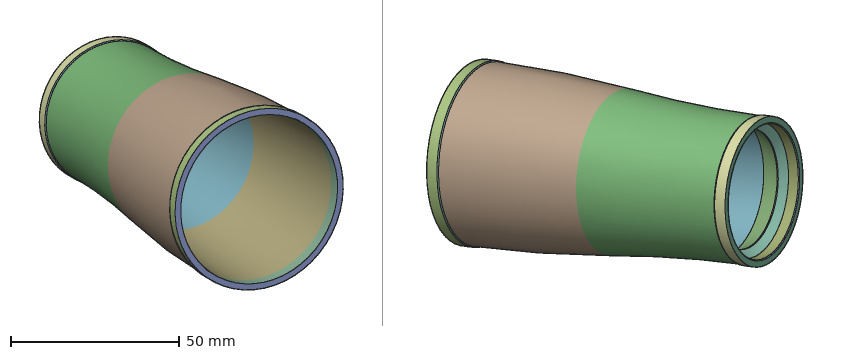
import cadquery as cq
import math

length = 100.0
small_radius = 22.6
large_radius = 28.0
band_width = 3.6
step_run = 0.4
band_step = 0.3
wall = 1.6

socket_radius = 20.4
socket_depth = 3.7
mouth_chamfer = 0.3
throat_radius = 18.0
throat_start = 5.8
throat_end = 6.2
flare_end = 12.5

neck_radius = small_radius - band_step
shoulder_radius = large_radius - band_step
body_start = band_width + step_run
body_end = length - body_start
middle = length / 2
middle_radius = (neck_radius + shoulder_radius) / 2
half_run = middle - body_start
half_rise = middle_radius - neck_radius
arc_radius = (half_run**2 + half_rise**2) / (2 * half_rise)


def neck_arc_point(x, inset=0.0):
    """Point at x on the concave body arc, moved inward by the given inset."""
    radius = arc_radius + inset
    drop = math.sqrt(radius**2 - (x - body_start) ** 2)
    return (x, neck_radius + arc_radius - drop)


def shoulder_arc_point(x, inset=0.0):
    """Point at x on the convex body arc, moved inward by the given inset."""
    radius = arc_radius - inset
    rise = math.sqrt(radius**2 - (x - body_end) ** 2)
    return (x, shoulder_radius - arc_radius + rise)


tilt = math.asin(half_run / arc_radius)
inner_middle = middle + wall * math.sin(tilt)
inner_middle_radius = middle_radius - wall * math.cos(tilt)
middle_slope = (math.cos(tilt), math.sin(tilt))

profile = (
    cq.Workplane("XZ")
    .moveTo(0, socket_radius + mouth_chamfer)
    .lineTo(0, small_radius)
    .lineTo(band_width, small_radius)
    .lineTo(body_start, neck_radius)
    .threePointArc(neck_arc_point((body_start + middle) / 2), (middle, middle_radius))
    .spline(
        [shoulder_arc_point((middle + body_end) / 2), (body_end, shoulder_radius)],
        tangents=[middle_slope, (1, 0)],
        includeCurrent=True,
    )
    .lineTo(length - band_width, large_radius)
    .lineTo(length, large_radius)
    .lineTo(length, shoulder_radius - wall)
    .lineTo(body_end, shoulder_radius - wall)
    .spline(
        [shoulder_arc_point((inner_middle + body_end) / 2, wall), (inner_middle, inner_middle_radius)],
        tangents=[(-1, 0), (-middle_slope[0], -middle_slope[1])],
        includeCurrent=True,
    )
    .threePointArc(
        neck_arc_point((flare_end + inner_middle) / 2, wall),
        neck_arc_point(flare_end, wall),
    )
    .lineTo(throat_end, throat_radius)
    .lineTo(throat_start, throat_radius)
    .lineTo(socket_depth, socket_radius)
    .lineTo(mouth_chamfer, socket_radius)
    .close()
)

result = profile.revolve(360, (0, 0, 0), (1, 0, 0))